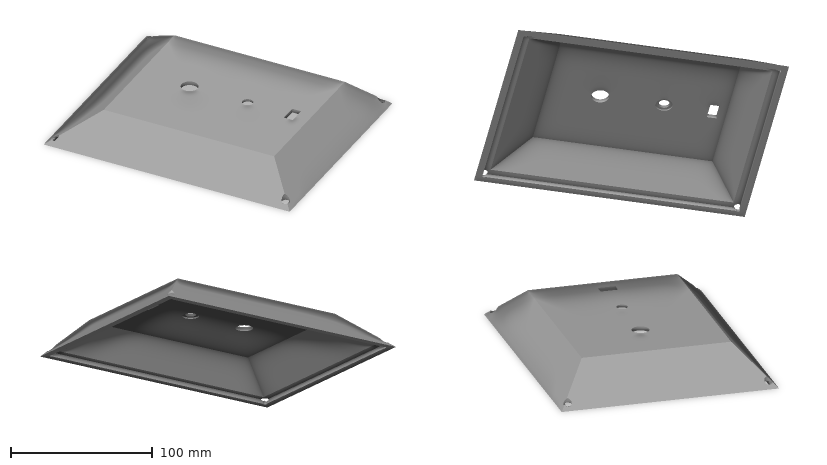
import cadquery as cq

length = 195.0
width = 160.0
height = 25.0

left_run = 35.0
steep_run = height

rim_width = 5.0
rim_height = 3.0
top_thickness = 3.0
cavity_inset = 10.0
cavity_height = height - top_thickness - rim_height

screw_inset = 6.0
screw_head_diameter = 6.0
screw_clearance_diameter = 3.0
screw_seat_z = 2.0

knob_hole_diameter = 12.7
knob_hole_x = -22.5
lamp_hole_diameter = 8.0
lamp_hole_x = 23.5
lamp_recess_diameter = 12.0
lamp_lip_thickness = 2.0
switch_slot_length = 7.0
switch_slot_width = 13.0
switch_slot_x = 59.0


def frustum(base_inset, base_z, rise):
    """Four-sided hood parallel to the outer slopes, starting inset from the base outline."""
    left = base_inset - length / 2
    right = -left
    half_width = width / 2 - base_inset
    top_z = base_z + rise
    left_shift = rise * left_run / height
    steep_shift = rise * steep_run / height
    side_profile = (
        cq.Workplane("XZ")
        .polyline([
            (left, base_z),
            (left + left_shift, top_z),
            (right - steep_shift, top_z),
            (right, base_z),
        ])
        .close()
        .extrude(half_width, both=True)
    )
    end_profile = (
        cq.Workplane("YZ")
        .polyline([
            (-half_width, base_z),
            (steep_shift - half_width, top_z),
            (half_width - steep_shift, top_z),
            (half_width, base_z),
        ])
        .close()
        .extrude(right, both=True)
    )
    return side_profile.intersect(end_profile)


def cylinders(diameter, centres, bottom, top):
    """Vertical cylinders between two heights."""
    return (
        cq.Workplane("XY", origin=(0, 0, bottom))
        .pushPoints(centres)
        .circle(diameter / 2)
        .extrude(top - bottom)
    )


def shell():
    """Outer hood with its rim opening and cavity removed."""
    opening = cq.Workplane("XY").box(
        length - 2 * rim_width,
        width - 2 * rim_width,
        rim_height,
        centered=(True, True, False),
    )
    cavity = frustum(cavity_inset, rim_height, cavity_height)
    return frustum(0, 0, height).cut(opening).cut(cavity)


def cut_screw_holes(body):
    """Bore the four corner holes, leaving a seat for the screw head on the rim."""
    centres = [
        (side_x * (length / 2 - screw_inset), side_y * (width / 2 - screw_inset))
        for side_x in (-1, 1)
        for side_y in (-1, 1)
    ]
    head_bores = cylinders(screw_head_diameter, centres, screw_seat_z, height)
    clearance_holes = cylinders(screw_clearance_diameter, centres, 0, height)
    return body.cut(head_bores).cut(clearance_holes)


def cut_top_openings(body):
    """Cut the round holes, the recess under the smaller one and the slot through the top plate."""
    knob_hole = cylinders(knob_hole_diameter, [(knob_hole_x, 0)], 0, height)
    lamp_hole = cylinders(lamp_hole_diameter, [(lamp_hole_x, 0)], 0, height)
    lamp_recess = cylinders(lamp_recess_diameter, [(lamp_hole_x, 0)], 0, height - lamp_lip_thickness)
    switch_slot = (
        cq.Workplane("XY")
        .center(switch_slot_x, 0)
        .rect(switch_slot_length, switch_slot_width)
        .extrude(height)
    )
    return body.cut(knob_hole).cut(lamp_hole).cut(lamp_recess).cut(switch_slot)


result = cut_top_openings(cut_screw_holes(shell()))